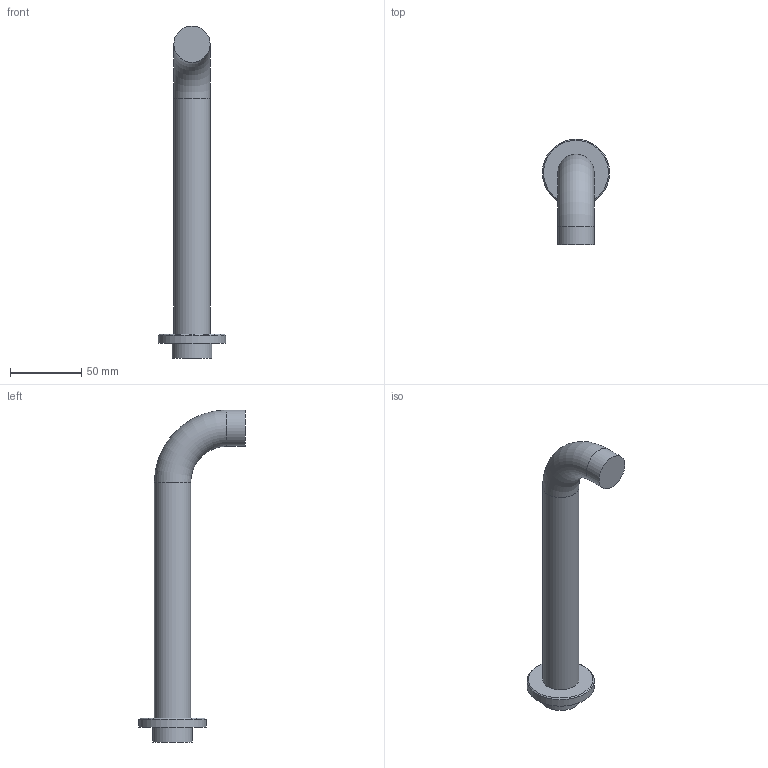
import cadquery as cq

tube_diameter = 25.4
flange_diameter = 46.99
flange_thickness = 6.35
flange_edge_break = 0.8
spigot_diameter = 27.94
spigot_height = 10.41
bend_radius = 38.1
bend_angle = 90
outlet_length = 12.7
overall_height = 232.41

tube_radius = tube_diameter / 2
outlet_axis_height = overall_height - tube_radius
bend_start_height = outlet_axis_height - bend_radius


def make_spigot():
    """Short plain cylinder below the flange, standing on Z = 0."""
    return cq.Workplane("XY").circle(spigot_diameter / 2).extrude(spigot_height)


def make_flange():
    """Round disc with its upper rim broken by a small chamfer."""
    disc = (
        cq.Workplane("XY")
        .workplane(offset=spigot_height)
        .circle(flange_diameter / 2)
        .extrude(flange_thickness)
    )
    return disc.faces(">Z").edges().chamfer(flange_edge_break)


def make_riser():
    """Straight vertical tube from the spigot base up to the bend."""
    return cq.Workplane("XY").circle(tube_radius).extrude(bend_start_height)


def make_bend():
    """Quarter-torus elbow turning from +Z to -Y."""
    return (
        cq.Workplane("XY")
        .workplane(offset=bend_start_height)
        .circle(tube_radius)
        .revolve(bend_angle, (0, -bend_radius), (1, -bend_radius))
    )


def make_outlet():
    """Straight horizontal end of the spout, pointing toward -Y."""
    return (
        cq.Workplane("XZ", origin=(0, -bend_radius, outlet_axis_height))
        .circle(tube_radius)
        .extrude(outlet_length)
    )


result = (
    make_spigot()
    .union(make_flange())
    .union(make_riser())
    .union(make_bend())
    .union(make_outlet())
)